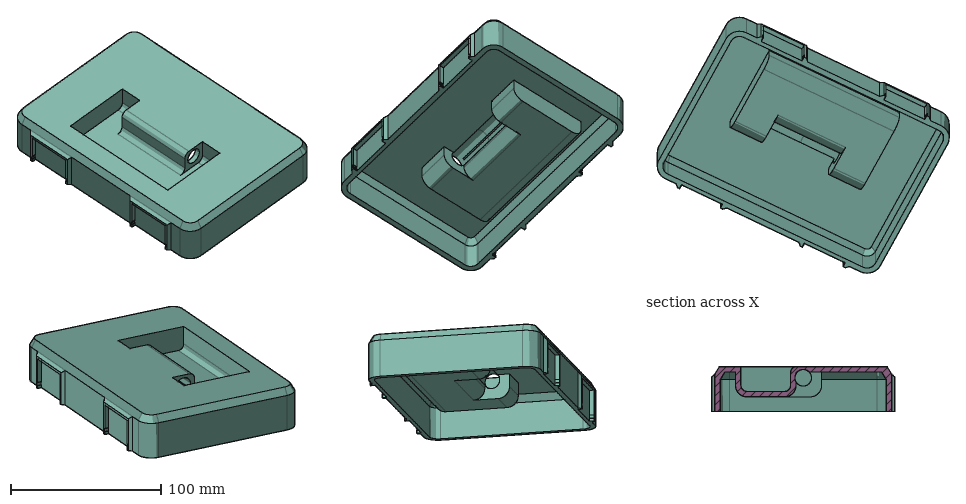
import cadquery as cq

LENGTH = 166.0
OVERALL_WIDTH = 122.0
HEIGHT = 30.0
PAD_DEPTH = 2.0
WIDTH = OVERALL_WIDTH - 2 * PAD_DEPTH
CORNER_RADIUS = 10.0
BEVEL_HEIGHT = 5.0
BEVEL_INSET = 3.0
WALL = 3.75
SHOULDER_Z = HEIGHT - BEVEL_HEIGHT

PAD_WIDTH = 38.0
PAD_OFFSET_X = 46.0
RIM_WIDTH = 1.75
RECESS_DEPTH = 3.0
RECESS_WIDTH = PAD_WIDTH - 2 * (PAD_DEPTH + RIM_WIDTH)
RECESS_HEIGHT = SHOULDER_Z - PAD_DEPTH - RIM_WIDTH
NOTCH_DEPTH = 0.5
NOTCH_HEIGHT = 2.25
NOTCH_BOTTOM_Z = 2.0

POCKET_LENGTH = 90.0
POCKET_WIDTH = 50.0
POCKET_DEPTH = 16.5
POCKET_BACK_Y = 8.5
POCKET_FRONT_Y = POCKET_BACK_Y - POCKET_WIDTH
POCKET_FLOOR_Z = HEIGHT - POCKET_DEPTH
POCKET_FILLET = 4.0
BAR_LENGTH = 58.0
BAR_FRONT_Y = -8.5
HOLE_DIAMETER = 11.0
HOLE_Y = (POCKET_BACK_Y + BAR_FRONT_Y) / 2
HOLE_Z = 22.5


def beveled_block(inset):
    """Rounded block with a beveled top, its sides and top moved in by the inset."""
    return (
        cq.Workplane("XY")
        .rect(LENGTH - 2 * inset, WIDTH - 2 * inset)
        .extrude(HEIGHT - inset)
        .edges("|Z")
        .fillet(CORNER_RADIUS - inset)
        .faces(">Z")
        .chamfer(BEVEL_HEIGHT, BEVEL_INSET)
    )


def pocket_section(back_y, margin):
    """Open YZ outline of the pocket, from its front top edge to its back wall."""
    floor_z = POCKET_FLOOR_Z - margin
    front_y = POCKET_FRONT_Y - margin
    radius = POCKET_FILLET + margin
    return (
        cq.Workplane("YZ")
        .moveTo(front_y, HEIGHT - margin)
        .lineTo(front_y, floor_z + radius)
        .tangentArcPoint((front_y + radius, floor_z), relative=False)
        .lineTo(back_y - radius, floor_z)
        .tangentArcPoint((back_y, floor_z + radius), relative=False)
    )


def pocket(margin):
    """U-shaped handle pocket below the top face, grown by the margin on every side."""
    top_z = HEIGHT - margin
    half_length = POCKET_LENGTH / 2 + margin
    half_bar = BAR_LENGTH / 2 - margin
    bar_y = BAR_FRONT_Y + margin
    bar_radius = POCKET_FILLET - margin
    middle = (
        pocket_section(bar_y, margin)
        .lineTo(bar_y, top_z - bar_radius)
        .tangentArcPoint((bar_y + bar_radius, top_z), relative=False)
        .close()
        .extrude(half_length, both=True)
    )
    back_y = POCKET_BACK_Y + margin
    end = pocket_section(back_y, margin).lineTo(back_y, top_z).close().extrude(half_length - half_bar)
    right_end = end.translate((half_bar, 0, 0))
    left_end = end.translate((-half_length, 0, 0))
    return middle.union(right_end).union(left_end)


def pivot_hole():
    """Cylinder along X through both end walls of the grip bar."""
    return (
        cq.Workplane("YZ")
        .center(HOLE_Y, HOLE_Z)
        .circle(HOLE_DIAMETER / 2)
        .extrude(BAR_LENGTH / 2, both=True)
    )


def pad():
    """Pad on the front side, centered in X, sloped back to the side wall at its top and ends."""
    half_width = PAD_WIDTH / 2
    back_y = -WIDTH / 2 + WALL
    pad_plan = [
        (-half_width, back_y),
        (-half_width, -WIDTH / 2),
        (-half_width + PAD_DEPTH, -OVERALL_WIDTH / 2),
        (half_width - PAD_DEPTH, -OVERALL_WIDTH / 2),
        (half_width, -WIDTH / 2),
        (half_width, back_y),
    ]
    return (
        cq.Workplane("XY")
        .polyline(pad_plan)
        .close()
        .extrude(SHOULDER_Z)
        .edges(">Z and <Y")
        .chamfer(PAD_DEPTH)
    )


def pad_recess():
    """Recess in the pad, open at the bottom, with a small latch notch in each side."""
    notch_span = RECESS_WIDTH + 2 * NOTCH_DEPTH
    plan = cq.Workplane("XY").center(0, (RECESS_DEPTH - OVERALL_WIDTH) / 2)
    recess = plan.rect(RECESS_WIDTH, RECESS_DEPTH).extrude(RECESS_HEIGHT)
    notches = plan.workplane(offset=NOTCH_BOTTOM_Z).rect(notch_span, RECESS_DEPTH).extrude(NOTCH_HEIGHT)
    return recess.union(notches)


def at_pad_places(shape):
    """Four copies of a front-side shape: two on the front side and two mirrored to the back."""
    right = shape.translate((PAD_OFFSET_X, 0, 0))
    left = shape.translate((-PAD_OFFSET_X, 0, 0))
    front = right.union(left)
    return front.union(front.mirror("XZ"))


cavity = beveled_block(WALL).cut(pocket(WALL))
result = (
    beveled_block(0)
    .union(at_pad_places(pad()))
    .cut(pocket(0))
    .cut(cavity)
    .cut(pivot_hole())
    .cut(at_pad_places(pad_recess()))
)